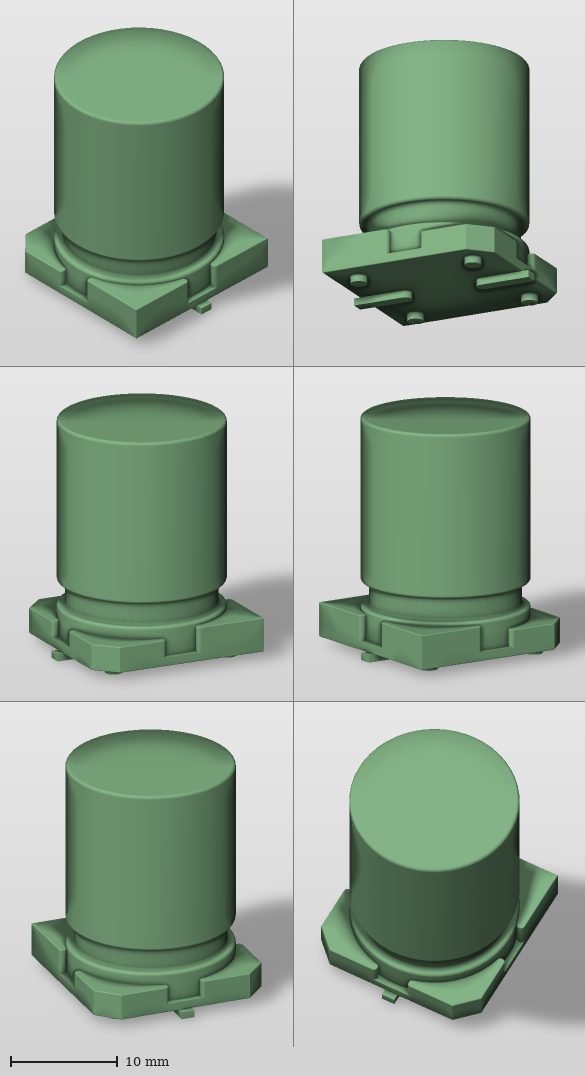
import cadquery as cq

total_height = 22.5
foot_height = 0.7

can_radius = 16.0 / 2
neck_radius = 14.4 / 2
can_round = 0.3
collar_edge_height = 4.1
neck_height = 1.69

base_side = 17.1
base_chamfer = 2.0
low_corner_height = 3.25
high_corner_height = 4.03
edge_break = 0.1

notch_width = 3.33
notch_floor = 1.55
notch_round = 0.35

lead_span = 18.3
lead_width = 1.3
lead_inner_end = 3.45
foot_diameter = 1.6
foot_offset = 5.98


def make_can():
    """Revolved can with a rolled neck between the lower collar and the upper body."""
    collar_shelf = collar_edge_height + can_round
    neck_bottom = collar_shelf + can_round
    neck_top = neck_bottom + neck_height
    body_shelf = neck_top + can_round
    body_bottom = body_shelf + can_round
    outer_shelf_radius = can_radius - can_round
    inner_shelf_radius = neck_radius + can_round
    return (
        cq.Workplane("XZ")
        .moveTo(0, notch_floor)
        .lineTo(can_radius, notch_floor)
        .lineTo(can_radius, collar_edge_height)
        .tangentArcPoint((outer_shelf_radius, collar_shelf), relative=False)
        .lineTo(inner_shelf_radius, collar_shelf)
        .tangentArcPoint((neck_radius, neck_bottom), relative=False)
        .lineTo(neck_radius, neck_top)
        .tangentArcPoint((inner_shelf_radius, body_shelf), relative=False)
        .lineTo(outer_shelf_radius, body_shelf)
        .tangentArcPoint((can_radius, body_bottom), relative=False)
        .lineTo(can_radius, total_height - can_round)
        .tangentArcPoint((outer_shelf_radius, total_height), relative=False)
        .lineTo(0, total_height)
        .close()
        .revolve(360, (0, 0, 0), (0, 1, 0))
    )


def make_corner_post(x_sign, y_sign):
    """One corner of the base, standing on the notch floor outside the can."""
    height = high_corner_height if x_sign > 0 else low_corner_height
    inner = notch_width / 2
    outer = base_side / 2
    size = outer - inner
    middle = (inner + outer) / 2
    post = (
        cq.Workplane("XY", origin=(x_sign * middle, y_sign * middle, notch_floor))
        .rect(size, size)
        .extrude(height - notch_floor)
    )
    bore = cq.Workplane("XY").circle(can_radius).extrude(total_height)
    post = post.cut(bore)
    x_inside, x_outside = ("<X", ">X") if x_sign > 0 else (">X", "<X")
    y_inside, y_outside = ("<Y", ">Y") if y_sign > 0 else (">Y", "<Y")
    post = post.edges("|Z").edges(f"{x_inside} or {y_inside}").fillet(notch_round)
    if x_sign < 0:
        post = post.edges(f"{x_outside} and {y_outside}").chamfer(base_chamfer)
    return post.faces(">Z").edges().fillet(edge_break)


def make_base():
    """Chamfered base slab with a post at each corner; the +X posts are taller."""
    base = (
        cq.Workplane("XY", origin=(0, 0, foot_height))
        .rect(base_side, base_side)
        .extrude(notch_floor - foot_height)
        .edges("|Z and <X")
        .chamfer(base_chamfer)
        .faces("<Z")
        .edges()
        .fillet(edge_break)
    )
    for x_sign in (-1, 1):
        for y_sign in (-1, 1):
            base = base.union(make_corner_post(x_sign, y_sign))
    return base


def make_lead(x_sign):
    """Flat lead with a full-round inner end."""
    half_width = lead_width / 2
    inner = x_sign * lead_inner_end
    tangent = x_sign * (lead_inner_end + half_width)
    outer = x_sign * lead_span / 2
    return (
        cq.Workplane("XY")
        .moveTo(outer, half_width)
        .lineTo(tangent, half_width)
        .threePointArc((inner, 0), (tangent, -half_width))
        .lineTo(outer, -half_width)
        .close()
        .extrude(foot_height)
    )


def make_foot():
    """Round foot with a fillet that flares out into the underside of the base."""
    radius = foot_diameter / 2
    return (
        cq.Workplane("XZ")
        .lineTo(radius, 0)
        .lineTo(radius, foot_height - edge_break)
        .tangentArcPoint((radius + edge_break, foot_height), relative=False)
        .lineTo(0, foot_height)
        .close()
        .revolve(360, (0, 0, 0), (0, 1, 0))
    )


result = make_base().union(make_can())
for x_sign in (-1, 1):
    result = result.union(make_lead(x_sign))
    for y_sign in (-1, 1):
        result = result.union(make_foot().translate((x_sign * foot_offset, y_sign * foot_offset, 0)))